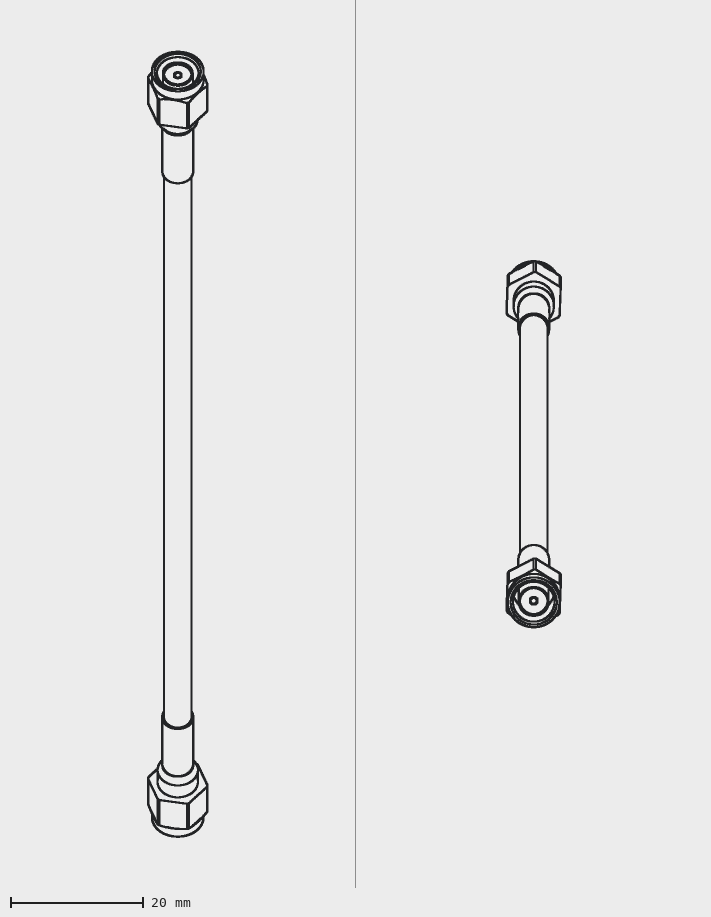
import cadquery as cq

TOTAL_LENGTH = 174.2
CABLE_DIAMETER = 4.2

HEX_START = 2.0
HEX_END = 8.2
SLEEVE_START = 12.2
SLEEVE_END = 23.3

HEX_FLATS = 8.0
HEX_TURN = 30
HEX_CORNER_DIAMETER = 9.0
RIM_DIAMETER = 7.8
HEX_CHAMFER_HEIGHT = 0.3
BORE_DIAMETER = 6.3
BORE_CHAMFER = 0.3
BORE_DEPTH = HEX_END - 1.7

COLLAR_DIAMETER = 6.1
SLEEVE_DIAMETER = 4.7
COLLAR_CONE_LENGTH = 1.2
COLLAR_CONE_END_DIAMETER = 4.5

CORE_DIAMETER = 4.5
CORE_RECESS = 0.5
INSULATOR_DIAMETER = 4.2
INSULATOR_RECESS = 0.9
PIN_HOLE_DIAMETER = 1.2
PIN_HOLE_DEPTH = 3.5
PIN_DIAMETER = 0.94


def cylinder(diameter, start, end):
    """Cylinder on the Z axis between two heights."""
    return cq.Workplane("XY").workplane(offset=start).circle(diameter / 2).extrude(end - start)


def coupling_nut():
    """Hexagon with turned corners, a round front rim and a blind bore chamfered at its mouth."""
    hexagon = (
        cq.Workplane("XY")
        .workplane(offset=HEX_START)
        .polygon(6, HEX_FLATS, circumscribed=True)
        .extrude(HEX_END - HEX_START)
        .rotate((0, 0, 0), (0, 0, 1), HEX_TURN)
    )
    turned_blank = cylinder(HEX_CORNER_DIAMETER, HEX_START, HEX_END).faces("<Z").chamfer(
        HEX_CHAMFER_HEIGHT, (HEX_CORNER_DIAMETER - RIM_DIAMETER) / 2
    )
    hexagon = hexagon.intersect(turned_blank)
    rim = cylinder(RIM_DIAMETER, 0, HEX_START)
    nut = hexagon.union(rim).cut(cylinder(BORE_DIAMETER, 0, BORE_DEPTH))
    mouth = cq.selectors.RadiusNthSelector(0)
    return nut.faces("<Z").edges(mouth).chamfer(BORE_CHAMFER)


def rear_body():
    """Collar with a conical end and crimp sleeve behind the nut."""
    collar = cylinder(COLLAR_DIAMETER, HEX_END, SLEEVE_START).faces(">Z").chamfer(
        COLLAR_CONE_LENGTH, (COLLAR_DIAMETER - COLLAR_CONE_END_DIAMETER) / 2
    )
    sleeve = cylinder(SLEEVE_DIAMETER, SLEEVE_START, SLEEVE_END)
    return collar.union(sleeve)


def mating_core():
    """Round core with a shallow face recess and a pin inside a blind centre hole."""
    core = cylinder(CORE_DIAMETER, CORE_RECESS, BORE_DEPTH)
    face_recess = cylinder(INSULATOR_DIAMETER, CORE_RECESS, INSULATOR_RECESS)
    pin_hole = cylinder(PIN_HOLE_DIAMETER, INSULATOR_RECESS, PIN_HOLE_DEPTH)
    pin = cylinder(PIN_DIAMETER, INSULATOR_RECESS, PIN_HOLE_DEPTH)
    return core.cut(face_recess).cut(pin_hole).union(pin)


def connector():
    """Complete connector, mating face at z = 0 and cable socket in its far end."""
    cable_socket = cylinder(CABLE_DIAMETER, SLEEVE_START, SLEEVE_END)
    return coupling_nut().union(rear_body()).union(mating_core()).cut(cable_socket)


def cable():
    """Straight cable reaching the bottom of both connector sockets."""
    cable_end = TOTAL_LENGTH / 2 - SLEEVE_START
    return cylinder(CABLE_DIAMETER, -cable_end, cable_end)


connectors = []
for turn in (0, 180):
    placed = connector().translate((0, 0, -TOTAL_LENGTH / 2)).rotate((0, 0, 0), (1, 0, 0), turn)
    connectors.append(placed.val())

result = cq.Compound.makeCompound([cable().val(), *connectors])